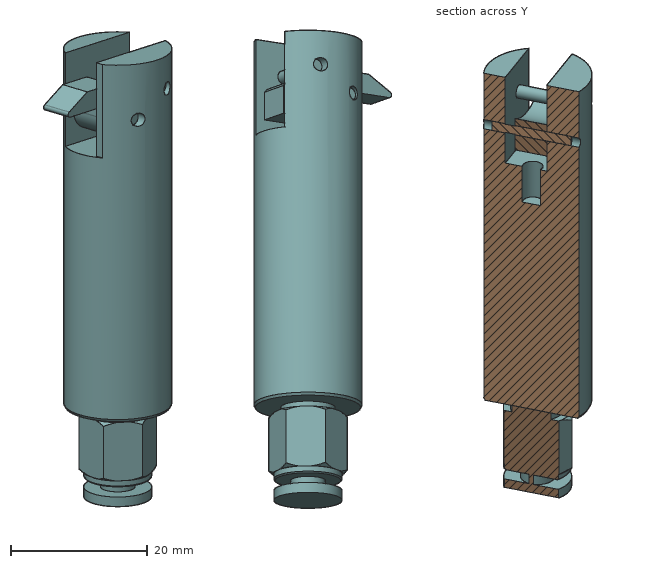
import cadquery as cq
import math

HOUSING_RADIUS = 7.95
HOUSING_LENGTH = 55.0
CHAMFER_HEIGHT = 0.4
CHAMFER_INSET = 0.23
SLOT_LEFT = -4.1
SLOT_RIGHT = 2.4
SLOT_DEPTH = 14.4
SLOT_FLOOR = HOUSING_LENGTH - SLOT_DEPTH
FRONT_FLAT_Y = -7.05
FLOOR_HOLE_RADIUS = 1.5
FLOOR_HOLE_DEPTH = 6.0
FLOOR_HOLE_Y = -2.0

PIN_RADIUS = 1.0
PIN_LENGTH = 12.5
STOP_PIN_YZ = (2.7, HOUSING_LENGTH - 5.1)
PIVOT_PIN_YZ = (-3.2, HOUSING_LENGTH - 8.6)
PIN_POSITIONS = [STOP_PIN_YZ, PIVOT_PIN_YZ]

LEVER_THICKNESS = 5.0
LEVER_RIGHT = SLOT_RIGHT
LEVER_LEFT = LEVER_RIGHT - LEVER_THICKNESS
LEVER_TOP = HOUSING_LENGTH - 4.05
NOSE_BOTTOM = LEVER_TOP - 3.05
NOSE_TIP_Y = -13.0
NOSE_TIP_RADIUS = 0.45
NOSE_SLOPE_START_Y = -8.95
NOSE_SLOPE = math.radians(30)
HUB_RADIUS = 3.5
HUB_RISE = 0.15
HUB_CENTRE_YZ = (PIVOT_PIN_YZ[0], PIVOT_PIN_YZ[1] + HUB_RISE)
HUB_FRONT_Y = HUB_CENTRE_YZ[0] - HUB_RADIUS
HUB_BOTTOM = HUB_CENTRE_YZ[1] - HUB_RADIUS
LEVER_REAR_Y = 6.05
REAR_CHAMFER = 0.5
POCKET_RADIUS = 8.5
POCKET_CENTRE_Y = 2.1
POCKET_LOWEST = 47.0
POCKET_FRONT_Y = -3.1
POCKET_REAR_Y = LEVER_REAR_Y - REAR_CHAMFER
POCKET_EDGE_CHAMFER = 0.75

NECK_RADIUS = 4.0
NECK_LENGTH = 1.0
HEX_ACROSS_FLATS = 10.0
HEX_LENGTH = 9.0
HEX_TURN = -7.3
HEX_END_RADIUS = 5.1
HEX_CONE_LENGTH = 0.5
COLLAR_RADIUS = 5.0
COLLAR_LENGTH = 1.0
COLLAR_CHAMFER = 0.2
STEM_RADIUS = 2.55
STEM_LENGTH = 1.5
FLANGE_RADIUS = COLLAR_RADIUS
FLANGE_LENGTH = 1.5


def disc(radius, top, length):
    """A round disc on the Z axis, reaching down from height `top`."""
    return cq.Workplane("XY").workplane(offset=top - length).circle(radius).extrude(length)


def block(x_range, y_range, z_range):
    """A box between the given limits."""
    sizes = [high - low for low, high in (x_range, y_range, z_range)]
    corner = (x_range[0], y_range[0], z_range[0])
    return cq.Workplane("XY").box(*sizes, centered=False).translate(corner)


def make_pin(position, length=PIN_LENGTH):
    """A pin along X, centred on the housing axis."""
    left_end = cq.Workplane("YZ").workplane(offset=-length / 2)
    return left_end.center(*position).circle(PIN_RADIUS).extrude(length)


def make_housing():
    outer = 2 * HOUSING_RADIUS
    body = disc(HOUSING_RADIUS, HOUSING_LENGTH, HOUSING_LENGTH)
    body = body.faces("<Z").chamfer(CHAMFER_HEIGHT, CHAMFER_INSET)
    slot_heights = (SLOT_FLOOR, HOUSING_LENGTH)
    body = body.cut(block((SLOT_LEFT, SLOT_RIGHT), (-outer, outer), slot_heights))
    body = body.cut(block((-outer, outer), (-outer, FRONT_FLAT_Y), slot_heights))
    floor_hole = disc(FLOOR_HOLE_RADIUS, SLOT_FLOOR, FLOOR_HOLE_DEPTH).translate((0, FLOOR_HOLE_Y, 0))
    body = body.cut(floor_hole)
    for position in PIN_POSITIONS:
        body = body.cut(make_pin(position, length=2 * outer))
    return body


def pocket_height(y):
    """Height of the hollow upper edge of the lever at a given Y."""
    rise = POCKET_RADIUS - math.sqrt(POCKET_RADIUS**2 - (y - POCKET_CENTRE_Y) ** 2)
    return POCKET_LOWEST + rise


def make_lever():
    tip_y = NOSE_TIP_Y + NOSE_TIP_RADIUS
    tip_z = NOSE_BOTTOM + NOSE_TIP_RADIUS
    slope_end = (
        tip_y - NOSE_TIP_RADIUS * math.sin(NOSE_SLOPE),
        tip_z + NOSE_TIP_RADIUS * math.cos(NOSE_SLOPE),
    )
    hub_y, hub_z = HUB_CENTRE_YZ
    hub_diagonal = HUB_RADIUS * math.sqrt(0.5)
    outline = (
        cq.Workplane("YZ")
        .workplane(offset=LEVER_LEFT)
        .moveTo(POCKET_FRONT_Y - POCKET_EDGE_CHAMFER, LEVER_TOP)
        .lineTo(NOSE_SLOPE_START_Y, LEVER_TOP)
        .lineTo(*slope_end)
        .threePointArc((NOSE_TIP_Y, tip_z), (tip_y, NOSE_BOTTOM))
        .lineTo(HUB_FRONT_Y, NOSE_BOTTOM)
        .lineTo(HUB_FRONT_Y, hub_z)
        .threePointArc((hub_y - hub_diagonal, hub_z - hub_diagonal), (hub_y, HUB_BOTTOM))
        .lineTo(LEVER_REAR_Y, HUB_BOTTOM)
        .lineTo(LEVER_REAR_Y, pocket_height(POCKET_REAR_Y) - REAR_CHAMFER)
        .lineTo(POCKET_REAR_Y, pocket_height(POCKET_REAR_Y))
        .threePointArc(
            (POCKET_CENTRE_Y, POCKET_LOWEST),
            (POCKET_FRONT_Y, pocket_height(POCKET_FRONT_Y)),
        )
        .lineTo(POCKET_FRONT_Y, LEVER_TOP - POCKET_EDGE_CHAMFER)
        .close()
    )
    return outline.extrude(LEVER_THICKNESS).cut(make_pin(PIVOT_PIN_YZ))


def make_hex(top):
    """The hexagon, its corners coned off at both ends."""
    corner_radius = HEX_ACROSS_FLATS / math.sqrt(3)
    bottom = top - HEX_LENGTH
    prism = (
        cq.Workplane("XY")
        .workplane(offset=bottom)
        .polygon(6, 2 * corner_radius)
        .extrude(HEX_LENGTH)
        .rotate((0, 0, 0), (0, 0, 1), HEX_TURN)
    )
    envelope = (
        cq.Workplane("XZ")
        .moveTo(0, top)
        .lineTo(HEX_END_RADIUS, top)
        .lineTo(corner_radius, top - HEX_CONE_LENGTH)
        .lineTo(corner_radius, bottom + HEX_CONE_LENGTH)
        .lineTo(HEX_END_RADIUS, bottom)
        .lineTo(0, bottom)
        .close()
        .revolve(360, (0, 0, 0), (0, 1, 0))
    )
    return prism.intersect(envelope)


def make_fitting():
    hex_top = -NECK_LENGTH
    collar_top = hex_top - HEX_LENGTH
    stem_top = collar_top - COLLAR_LENGTH
    flange_top = stem_top - STEM_LENGTH
    neck = disc(NECK_RADIUS, 0, NECK_LENGTH)
    collar = disc(COLLAR_RADIUS, collar_top, COLLAR_LENGTH).faces("<Z").chamfer(COLLAR_CHAMFER)
    stem = disc(STEM_RADIUS, stem_top, STEM_LENGTH)
    flange = disc(FLANGE_RADIUS, flange_top, FLANGE_LENGTH)
    return neck.union(make_hex(hex_top)).union(collar).union(stem).union(flange)


housing = make_housing()
lever = make_lever()
pins = [make_pin(position) for position in PIN_POSITIONS]
fitting = make_fitting()

result = cq.Compound.makeCompound(
    [housing.val(), lever.val(), *(pin.val() for pin in pins), fitting.val()]
)